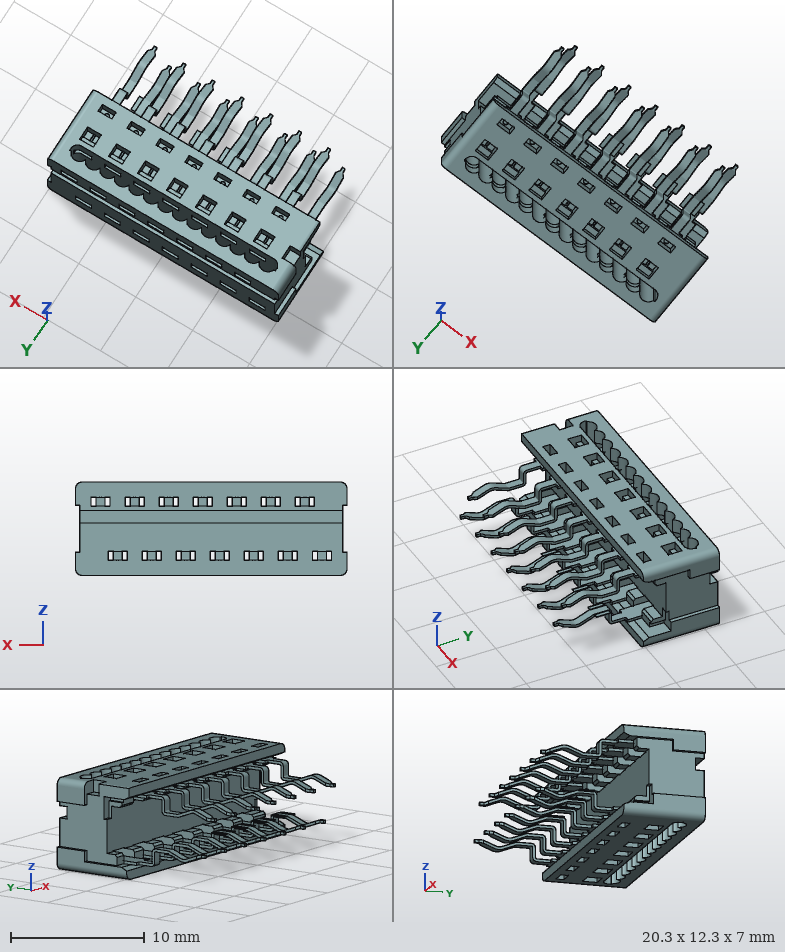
import cadquery as cq
import math


LENGTH = 20.3
HEIGHT = 7.0
PLATE_DEPTH = 6.4
CORE_LENGTH = 19.65
CORE_DEPTH = 4.35
CORNER_RADIUS = 0.53
TIP_BEVEL_DEPTH = 0.47
TIP_BEVEL_HEIGHT = 0.22
END_BLOCK_DEPTH = 2.5
END_BLOCK_BOTTOM = 1.75
RIB_DEPTH = 5.28
RIB_CHAMFER = 0.18
REAR_GROOVE_DEPTH = 0.67
REAR_GROOVE_HEIGHT = 0.93
REAR_GROOVE_Z = 0.9
PLATE_Z = 2.55
CORE_END = CORE_LENGTH / 2

POCKET_WIDTH = 0.6
POCKET_FLOOR_Y = -4.08
UPPER_POCKET_BOTTOM = 0.83
LOWER_POCKET_BOTTOM = 0.95
POCKET_STEP_WIDTH = 0.85
POCKET_STEP_BOTTOM = 2.13

ROW_SPAN = 16.52
CONTACTS_PER_ROW = 7
CONTACT_COUNT = 2 * CONTACTS_PER_ROW
PITCH = ROW_SPAN / (CONTACT_COUNT - 1)
UPPER_ROW_X = [(2 * i + 1.5 - CONTACTS_PER_ROW) * PITCH for i in range(CONTACTS_PER_ROW)]

CHANNEL_WIDTH = 1.4
CHANNEL_FLOOR = 1.68
WINDOW_WIDTH = 1.2
REAR_WINDOW_Y = (-3.63, -END_BLOCK_DEPTH)
FRONT_WINDOW_Y = (-5.72, -5.11)
LEDGE_DEPTH = 0.59

OPENING_LENGTH = 18.05
OPENING_REAR_Y = -1.35
OPENING_FRONT_Y = -2.11
OPENING_CORNER_RADIUS = 0.59
SCALLOP_RADIUS = 0.67
SCALLOP_TOP_Y = -0.91

NOTCH_END_X = -8.93

STRIP = 0.22
CONTACT_REAR_Y = -2.96
SHOULDER_Y = -6.43
BLADE_WIDTH = 0.7
DROP_Y = -7.73
FOOT_Z = 1.28
RISE_Y = -9.1
HUMP_Y = -10.5
HUMP_ANGLE = 21.0
TAPER_Y = -11.7
NUB_WIDTH = 0.25
NUB_Y = -11.97
TIP_Y = -12.3
BEND_RADIUS = 0.2
KINK_RADIUS = 0.12
HUMP_RADIUS = 0.85
SLIT_WIDTH = 0.16
SLIT_END_Y = -3.85
DIMPLE_DIAMETER = 0.39
DIMPLE_DEPTH = 0.12
DIMPLE_Y = -5.4

PAD_COUNT = 4
PAD_REAR_Y = -7.87
PAD_FRONT_Y = -9.1
PAD_THICKNESS = 0.05
PAD_INSET = 0.02


def block(x_range, y_range, z_range):
    """Box spanning the given (min, max) ranges."""
    sizes = [high - low for low, high in (x_range, y_range, z_range)]
    return cq.Workplane("XY").box(*sizes, centered=False).translate((x_range[0], y_range[0], z_range[0]))


def half_turn(shape):
    """Copy of an upper-row shape turned into the lower row."""
    return shape.rotate((0, 0, 0), (0, 1, 0), 180)


def side_profile(points, length):
    """Prism along X, centred on X = 0, from (y, z) points."""
    return cq.Workplane("YZ").polyline(points).close().extrude(length / 2, both=True)


def plate_with_blocks():
    """Upper plate with its bevelled tip and the block on each end of the core."""
    plate = side_profile(
        [
            (0, PLATE_Z),
            (0, HEIGHT / 2),
            (-PLATE_DEPTH, HEIGHT / 2),
            (-PLATE_DEPTH, PLATE_Z + TIP_BEVEL_HEIGHT),
            (-PLATE_DEPTH + TIP_BEVEL_DEPTH, PLATE_Z),
        ],
        LENGTH,
    )
    end_blocks = block((-LENGTH / 2, LENGTH / 2), (-END_BLOCK_DEPTH, 0), (END_BLOCK_BOTTOM, PLATE_Z))
    return plate.union(end_blocks).edges("|Y and >Z").fillet(CORNER_RADIUS)


def rib():
    """Rib under the upper plate, in front of the core."""
    return side_profile(
        [
            (-CORE_DEPTH, PLATE_Z),
            (-RIB_DEPTH, PLATE_Z),
            (-RIB_DEPTH, END_BLOCK_BOTTOM + RIB_CHAMFER),
            (-RIB_DEPTH + RIB_CHAMFER, END_BLOCK_BOTTOM),
            (-CORE_DEPTH, END_BLOCK_BOTTOM),
        ],
        CORE_LENGTH,
    )


def keying_pocket(bottom):
    """Stepped pocket at the -X end of the upper rib, reaching down to the given height."""
    depth_range = (-RIB_DEPTH, POCKET_FLOOR_Y)
    lower = block((-CORE_END, -CORE_END + POCKET_WIDTH), depth_range, (bottom, PLATE_Z))
    step = block((-CORE_END, -CORE_END + POCKET_STEP_WIDTH), depth_range, (POCKET_STEP_BOTTOM, PLATE_Z))
    return lower.union(step)


def contact_cuts(x):
    """Channel through the core, and the two plate windows, of one upper contact."""
    channel_range = (x - CHANNEL_WIDTH / 2, x + CHANNEL_WIDTH / 2)
    window_range = (x - WINDOW_WIDTH / 2, x + WINDOW_WIDTH / 2)
    channel = block(channel_range, (-RIB_DEPTH, CONTACT_REAR_Y), (CHANNEL_FLOOR, PLATE_Z))
    rear_channel = block(channel_range, (CONTACT_REAR_Y, 0), (CHANNEL_FLOOR, PLATE_Z - STRIP))
    front_window = block(window_range, FRONT_WINDOW_Y, (PLATE_Z, HEIGHT / 2))
    rear_window = block(window_range, (REAR_WINDOW_Y[0], CONTACT_REAR_Y), (PLATE_Z, HEIGHT / 2))
    ledge = block(window_range, (CONTACT_REAR_Y, REAR_WINDOW_Y[1]), (HEIGHT / 2 - LEDGE_DEPTH, HEIGHT / 2))
    return channel.union(rear_channel).union(front_window).union(rear_window).union(ledge)


def wire_opening():
    """Opening through the full height with a scalloped rear wall."""
    opening = block(
        (-OPENING_LENGTH / 2, OPENING_LENGTH / 2),
        (OPENING_FRONT_Y, OPENING_REAR_Y),
        (-HEIGHT / 2, HEIGHT / 2),
    )
    opening = opening.edges("|Z and <Y").fillet(OPENING_CORNER_RADIUS)
    scallop_y = SCALLOP_TOP_Y - SCALLOP_RADIUS
    cusp_y = scallop_y + math.sqrt(SCALLOP_RADIUS**2 - (PITCH / 2) ** 2)
    row_end = CONTACT_COUNT * PITCH / 2
    outline = cq.Workplane("XY").moveTo(-row_end, scallop_y).lineTo(-row_end, cusp_y)
    for index in range(CONTACT_COUNT):
        x = (index + 0.5 - CONTACTS_PER_ROW) * PITCH
        outline = outline.threePointArc((x, SCALLOP_TOP_Y), (x + PITCH / 2, cusp_y))
    outline = outline.lineTo(row_end, scallop_y).close()
    return opening.union(outline.extrude(HEIGHT / 2, both=True))


def housing():
    core = block((-CORE_END, CORE_END), (-CORE_DEPTH, 0), (-PLATE_Z, PLATE_Z))
    half = plate_with_blocks().union(rib())
    body = core.union(half).union(half_turn(half))

    body = body.union(
        block((CORE_END, LENGTH / 2), (POCKET_FLOOR_Y, -END_BLOCK_DEPTH), (-PLATE_Z, -END_BLOCK_BOTTOM))
    )

    body = body.cut(keying_pocket(UPPER_POCKET_BOTTOM)).cut(half_turn(keying_pocket(LOWER_POCKET_BOTTOM)))
    for x in UPPER_ROW_X:
        cuts = contact_cuts(x)
        body = body.cut(cuts).cut(half_turn(cuts))
    body = body.cut(wire_opening())

    groove_range = (REAR_GROOVE_Z - REAR_GROOVE_HEIGHT / 2, REAR_GROOVE_Z + REAR_GROOVE_HEIGHT / 2)
    body = body.cut(block((-LENGTH / 2, LENGTH / 2), (-REAR_GROOVE_DEPTH, 0), groove_range))

    trim = block((-LENGTH / 2, -CORE_END), (-PLATE_DEPTH, -END_BLOCK_DEPTH), (0, HEIGHT / 2))
    notch = block((-LENGTH / 2, NOTCH_END_X), REAR_WINDOW_Y, (PLATE_Z, HEIGHT / 2))
    return body.cut(trim).cut(notch)


def rounded_path(points, radii):
    """Path in the YZ plane through (y, z) points, each inner corner rounded by its radius."""
    path = cq.Workplane("YZ").moveTo(*points[0])
    for before, corner, after, radius in zip(points, points[1:], points[2:], radii):
        back = (cq.Vector(*before) - cq.Vector(*corner)).normalized()
        ahead = (cq.Vector(*after) - cq.Vector(*corner)).normalized()
        half_angle = back.getAngle(ahead) / 2
        setback = radius / math.tan(half_angle)
        bisector = (back + ahead).normalized()
        start = cq.Vector(*corner) + back * setback
        middle = cq.Vector(*corner) + bisector * (radius / math.sin(half_angle) - radius)
        end = cq.Vector(*corner) + ahead * setback
        path = path.lineTo(start.x, start.y).threePointArc((middle.x, middle.y), (end.x, end.y))
    return path.lineTo(*points[-1])


def contact():
    """One bent strip contact of the upper row, centred on X = 0."""
    top_z = PLATE_Z - STRIP / 2
    hump_rise = (RISE_Y - HUMP_Y) * math.tan(math.radians(HUMP_ANGLE))
    path = rounded_path(
        [
            (CONTACT_REAR_Y, top_z),
            (DROP_Y, top_z),
            (DROP_Y, FOOT_Z),
            (RISE_Y, FOOT_Z),
            (HUMP_Y, FOOT_Z + hump_rise),
            (2 * HUMP_Y - RISE_Y, FOOT_Z),
            (TIP_Y, FOOT_Z),
        ],
        [BEND_RADIUS, BEND_RADIUS, KINK_RADIUS, HUMP_RADIUS, KINK_RADIUS],
    )
    strip = (
        cq.Workplane("XZ", origin=(0, CONTACT_REAR_Y, top_z))
        .rect(CHANNEL_WIDTH, STRIP)
        .sweep(path)
    )
    plan = (
        cq.Workplane("XY")
        .moveTo(0, CONTACT_REAR_Y)
        .lineTo(CHANNEL_WIDTH / 2, CONTACT_REAR_Y)
        .lineTo(CHANNEL_WIDTH / 2, SHOULDER_Y)
        .lineTo(BLADE_WIDTH / 2, SHOULDER_Y)
        .lineTo(BLADE_WIDTH / 2, TAPER_Y)
        .lineTo(NUB_WIDTH / 2, NUB_Y)
        .lineTo(NUB_WIDTH / 2, TIP_Y)
        .lineTo(0, TIP_Y)
        .mirrorY()
        .extrude(HEIGHT / 2)
    )
    slit = block((-SLIT_WIDTH / 2, SLIT_WIDTH / 2), (SLIT_END_Y, CONTACT_REAR_Y), (0, HEIGHT / 2))
    dimple = (
        cq.Workplane("XY", origin=(0, DIMPLE_Y, PLATE_Z))
        .circle(DIMPLE_DIAMETER / 2)
        .extrude(-DIMPLE_DEPTH)
    )
    return strip.intersect(plan).cut(slit).cut(dimple)


def foot_pad():
    """Thin pad on the foot of a contact, just short of its inner face and wider than the blade."""
    inner_z = FOOT_Z - STRIP / 2 + PAD_INSET
    return block(
        (-CHANNEL_WIDTH / 2, CHANNEL_WIDTH / 2),
        (PAD_FRONT_Y, PAD_REAR_Y),
        (inner_z, inner_z + PAD_THICKNESS),
    )


upper_contact = contact()
lower_contact = half_turn(upper_contact)
padded_contact = half_turn(upper_contact.union(foot_pad()))

result = housing()
for index, upper_x in enumerate(UPPER_ROW_X):
    lower = padded_contact if index >= CONTACTS_PER_ROW - PAD_COUNT else lower_contact
    result = result.union(upper_contact.translate((upper_x, 0, 0)))
    result = result.union(lower.translate((upper_x - PITCH, 0, 0)))